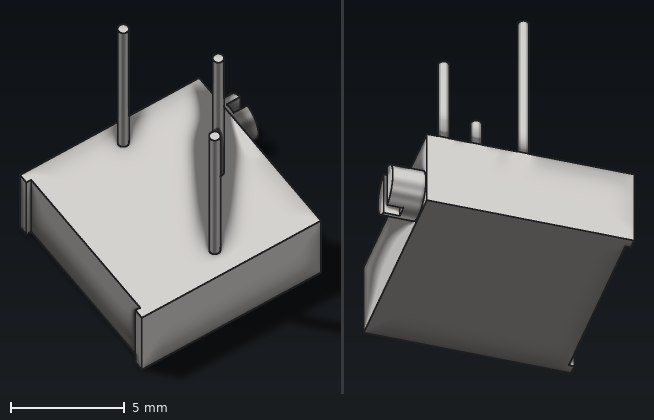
import cadquery as cq

body_side = 9.53
body_height = 3.79
front_face = -body_side / 2
back_face = body_side / 2

strip_width = 0.51
recess_depth = 0.25

total_height = 12.06
lead_diameter = 0.51
lead_row_spacing = 2.55
left_lead_x = -3.69
right_lead_x = 3.46
lead_positions = [(left_lead_x, 0), (0, lead_row_spacing), (right_lead_x, 0)]

screw_diameter = 2.27
screw_length = 1.52
screw_x = -3.5
screw_z = 1.24
slot_width = 0.55
slot_depth = 0.74


def make_housing():
    housing = cq.Workplane("XY").box(body_side, body_side, body_height, centered=(True, True, False))
    recess = (
        cq.Workplane("XY")
        .box(body_side - 2 * strip_width, recess_depth, body_height, centered=(True, False, False))
        .translate((0, front_face, 0))
    )
    return housing.cut(recess)


def make_leads():
    return (
        cq.Workplane("XY", origin=(0, 0, body_height))
        .pushPoints(lead_positions)
        .circle(lead_diameter / 2)
        .extrude(total_height - body_height)
    )


def make_screw():
    screw = (
        cq.Workplane("XZ", origin=(screw_x, back_face, screw_z))
        .circle(screw_diameter / 2)
        .extrude(-screw_length)
    )
    slot = (
        cq.Workplane("XY")
        .box(slot_width, slot_depth, screw_diameter, centered=(True, False, True))
        .translate((screw_x, back_face + screw_length - slot_depth, screw_z))
    )
    return screw.cut(slot)


result = make_housing().union(make_leads()).union(make_screw())